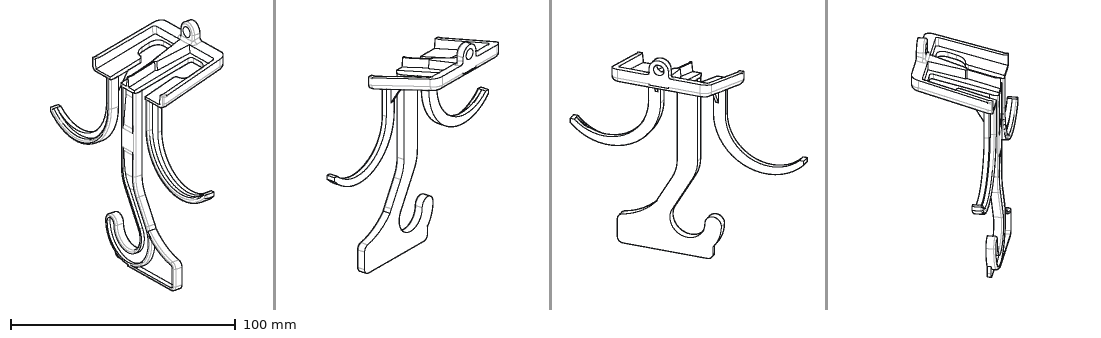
import cadquery as cq
import math


TOTAL_HEIGHT = 110.76
CUT_HEIGHT = 130.0
OVERRUN = 1.0

SHELF_DEPTH = 37.2
SHELF_HALF_WIDTH_FRONT = 25.7
SHELF_SIDE_DRAFT = math.radians(3)
SHELF_CORNER_RADIUS = 4.0
SHELF_SLOPE = math.radians(14.3)
SHELF_FRONT_FLAT = 2.2
SHELF_FRONT_TOP = 93.9
SHELF_FRONT_BOTTOM = 87.5
SHELF_BOTTOM_FILLET = 2.7
SHELF_EDGE_FILLET = 0.45
FLOOR_FRONT_HEIGHT = 89.0
FLOOR_SLOPE = math.radians(15)
WELL_DEPTH = 5.2
WELL_DRAFT = math.radians(6.5)
FLOOR_SIDE_MARGIN = 2.8
BACK_WALL = 5.1
WELL_CORNER_RADIUS = 1.3

SPINE_BACK_HALF_WIDTH = 3.9
SPINE_STEP_HALF_WIDTH = 1.7
SPINE_STEP_Y = 15.5
SPINE_NECK_LENGTH = 0.6
SPINE_FRONT_HALF_WIDTH = 0.85

SLOT_BACK_Y = 30.7
SLOT_STEP_Y = 17.75
SLOT_OUTER_X = 18.1
SLOT_INNER_X_BACK = 6.5
SLOT_INNER_X_FRONT = 4.95
SLOT_NECK_X_BACK = 12.0
SLOT_NECK_X_FRONT = 12.6
SLOT_OUTER_RADIUS = 4.6
SLOT_INNER_RADIUS = 1.7
SLOT_LIP_RADIUS = 1.5

EYE_RADIUS = 4.65
EYE_HOLE_RADIUS = 2.5
EYE_THICKNESS = 3.95
EYE_FRONT_FILLET = 0.8
EYE_BASE_FILLET = 1.5
EYE_BASE_Z = 98.0

ARM_TOP = 88.3
ARM_DEPTH = 4.8
ARM_INNER_X = 12.7
ARM_RIB_WIDTH = 2.1
ARM_WIDTH = 5.85
ARM_WEB_FRONT = 2.5
ARM_BEND_Z = 72.9
ARM_TIP_X = 56.31
ARM_BEND_RADIUS = 25.4
ARM_TIP_THICKNESS = 2.8
GUSSET_THICKNESS = 1.3
GUSSET_INSET = 1.2
GUSSET_BACK_Y = 12.1
GUSSET_BACK_Z = 90.2
GUSSET_FOOT_Z = 78.3

BODY_DEPTH = 4.3
EDGE_FILLET = 0.75
STEM_HALF_WIDTH = 4.95
STEM_BEND_RADIUS = 18.0
STEM_LEAN = math.radians(30)
HOOK_CENTRE_Z = 17.1
HOOK_INNER_RADIUS = 8.4
HOOK_OUTER_RADIUS = 16.4
CHANNEL_INSET = 1.6
CHANNEL_STEPS = [(57.9, 0.0), (56.2, 0.4), (44.7, 1.2), (38.2, 1.6)]
UPPER_POCKET_HALF_WIDTH = 3.5
UPPER_POCKET_DRAFT = 15
UPPER_POCKET_STEPS = [(87.4, 1.5), (83.8, 1.5), (69.2, 0.4), (67.3, 0.0)]

FOOT_LEFT_X = -12.4
FOOT_RIGHT_X = 33.8
FOOT_RIGHT_Z = 13.9
FOOT_CURVE_START = (14.8, 23.8)
FOOT_CURVE_MID = (21.9, 17.95)
FOOT_CORNER_RADIUS = 2.8
FOOT_RIM = 1.6
FOOT_WEB_FRONT = 2.5


def extrude_front(outline, y_start, y_end):
    """Extrude a closed XZ outline between two depths."""
    return outline.extrude(y_start - y_end).translate((0, y_start, 0))


def xz():
    return cq.Workplane("XZ")


def across(points, half_width):
    """Extrude a closed YZ polygon symmetrically about X = 0."""
    return cq.Workplane("YZ").polyline(points).close().extrude(half_width, both=True)


def mirrored_pair(body):
    return body.union(body.mirror("YZ"))


def shelf_shell():
    """Solid shelf before the wells and slots, with rounded outer edges."""
    rise = (SHELF_DEPTH - SHELF_FRONT_FLAT) * math.tan(SHELF_SLOPE)
    side_profile = [
        (0, SHELF_FRONT_BOTTOM),
        (SHELF_FRONT_FLAT, SHELF_FRONT_BOTTOM),
        (SHELF_DEPTH, SHELF_FRONT_BOTTOM + rise),
        (SHELF_DEPTH, SHELF_FRONT_TOP + rise),
        (SHELF_FRONT_FLAT, SHELF_FRONT_TOP),
        (0, SHELF_FRONT_TOP),
    ]
    half_front = SHELF_HALF_WIDTH_FRONT
    half_back = half_front - SHELF_DEPTH * math.tan(SHELF_SIDE_DRAFT)
    corners = [(-half_front, 0), (half_front, 0), (half_back, SHELF_DEPTH), (-half_back, SHELF_DEPTH)]
    plan = cq.Workplane("XY").polyline(corners).close().extrude(CUT_HEIGHT)
    plan = plan.edges("|Z and >Y").fillet(SHELF_CORNER_RADIUS)
    block = plan.intersect(across(side_profile, half_front))
    down_slope = cq.Vector(0, math.sin(SHELF_SLOPE), -math.cos(SHELF_SLOPE))
    lowest_sloped = cq.selectors.DirectionMinMaxSelector(-down_slope, False)
    lowest_flat = cq.selectors.DirectionMinMaxSelector(cq.Vector(0, 0, 1), False)
    bottom_edges = block.faces(lowest_sloped + lowest_flat).edges("(not |X) or >Y")
    block = bottom_edges.fillet(SHELF_BOTTOM_FILLET)
    highest_sloped = cq.selectors.DirectionMinMaxSelector(-down_slope, True)
    highest_flat = cq.selectors.DirectionMinMaxSelector(cq.Vector(0, 0, 1), True)
    front_edges = block.faces("<Y").edges()
    rim_edges = block.faces(highest_sloped).edges("(not |X) or >Y")
    flat_edges = block.faces("|Z").faces(highest_flat).edges("not |X")
    return front_edges.add(rim_edges).add(flat_edges).fillet(SHELF_EDGE_FILLET)


def shelf_with_eye():
    body = shelf_shell().union(eye())
    hole_bottom = TOTAL_HEIGHT - EYE_RADIUS - EYE_HOLE_RADIUS
    eye_base = cq.selectors.BoxSelector(
        (-EYE_RADIUS - OVERRUN, SHELF_DEPTH - EYE_THICKNESS - OVERRUN, EYE_BASE_Z),
        (EYE_RADIUS + OVERRUN, SHELF_DEPTH - SHELF_EDGE_FILLET / 2, hole_bottom),
    )
    return body.edges(eye_base).fillet(EYE_BASE_FILLET)


def well_section(height):
    """Closed wire of the right-hand well, parallel to the shelf floor at a height above it."""
    growth = height * math.tan(WELL_DRAFT)
    front = -OVERRUN
    back = SHELF_DEPTH - BACK_WALL
    wall_front = SHELF_HALF_WIDTH_FRONT - FLOOR_SIDE_MARGIN + growth
    taper = math.tan(SHELF_SIDE_DRAFT)
    plan = [
        (wall_front - front * taper, front),
        (wall_front - back * taper, back),
        (SPINE_BACK_HALF_WIDTH - growth, back),
        (SPINE_STEP_HALF_WIDTH - growth, SPINE_STEP_Y),
        (SPINE_FRONT_HALF_WIDTH - growth, SPINE_STEP_Y - SPINE_NECK_LENGTH),
        (SPINE_FRONT_HALF_WIDTH - growth, front),
    ]
    base = FLOOR_FRONT_HEIGHT + height
    return cq.Wire.makePolygon(
        [cq.Vector(x, y, base + y * math.tan(FLOOR_SLOPE)) for x, y in plan], close=True
    )


def well():
    """Right-hand hollow above the sloping floor, with drafted walls."""
    body = cq.Workplane(cq.Solid.makeLoft([well_section(0), well_section(WELL_DEPTH)], True))
    back = SHELF_DEPTH - BACK_WALL
    corner_z = FLOOR_FRONT_HEIGHT + back * math.tan(FLOOR_SLOPE) + WELL_DEPTH / 2
    corner = cq.selectors.NearestToPointSelector((SHELF_HALF_WIDTH_FRONT, back, corner_z))
    return body.edges(corner).fillet(WELL_CORNER_RADIUS)


def slot():
    points = [
        (SLOT_INNER_X_FRONT, 0),
        (SLOT_INNER_X_BACK, SLOT_BACK_Y),
        (SLOT_OUTER_X, SLOT_BACK_Y),
        (SLOT_OUTER_X, SLOT_STEP_Y),
        (SLOT_NECK_X_BACK, SLOT_STEP_Y),
        (SLOT_NECK_X_FRONT, 0),
    ]
    body = cq.Workplane("XY").polyline(points).close().extrude(CUT_HEIGHT)

    def round_corner(solid, corner, radius):
        return solid.edges(cq.selectors.NearestToPointSelector((*corner, CUT_HEIGHT / 2))).fillet(radius)

    body = round_corner(body, points[1], SLOT_INNER_RADIUS)
    body = round_corner(body, points[2], SLOT_OUTER_RADIUS)
    body = round_corner(body, points[3], SLOT_OUTER_RADIUS)
    return round_corner(body, points[4], SLOT_LIP_RADIUS)


def eye():
    centre_z = TOTAL_HEIGHT - EYE_RADIUS
    front_y = SHELF_DEPTH - EYE_THICKNESS
    outline = (
        xz()
        .moveTo(-EYE_RADIUS, EYE_BASE_Z)
        .lineTo(-EYE_RADIUS, centre_z)
        .threePointArc((0, TOTAL_HEIGHT), (EYE_RADIUS, centre_z))
        .lineTo(EYE_RADIUS, EYE_BASE_Z)
        .close()
    )
    body = extrude_front(outline, front_y, SHELF_DEPTH)
    return body.faces("<Y").edges("not <Z").fillet(EYE_FRONT_FILLET)


def eye_hole():
    centre_z = TOTAL_HEIGHT - EYE_RADIUS
    outline = xz().center(0, centre_z).circle(EYE_HOLE_RADIUS)
    return extrude_front(outline, 0, SHELF_DEPTH)


def arm_strip(start_x, end_x, tip_outer, tip_inner):
    """Closed XZ outline of a strip that drops straight, then curls out to its tip."""
    return (
        xz()
        .moveTo(start_x, ARM_TOP)
        .lineTo(start_x, ARM_BEND_Z)
        .threePointArc(curl_midpoint(start_x, tip_outer), tip_outer)
        .lineTo(ARM_TIP_X, tip_inner[1])
        .lineTo(*tip_inner)
        .threePointArc(curl_midpoint(end_x, tip_inner), (end_x, ARM_BEND_Z))
        .lineTo(end_x, ARM_TOP)
        .close()
    )


def curl_midpoint(start_x, tip):
    """Middle of the arc that leaves (start_x, ARM_BEND_Z) vertically and ends at the tip."""
    run = tip[0] - start_x
    drop = ARM_BEND_Z - tip[1]
    radius = (run**2 + drop**2) / (2 * run)
    half_sweep = math.atan2(drop, run - radius) / 2
    half_angle = (math.pi - 2 * half_sweep) / 2
    centre_x = start_x + radius
    return (centre_x - radius * math.cos(half_angle), ARM_BEND_Z - radius * math.sin(half_angle))


def arm():
    centre_x = ARM_INNER_X + ARM_BEND_RADIUS
    tip_angle = math.acos((ARM_TIP_X - centre_x) / ARM_BEND_RADIUS)

    def tip_point(radius):
        return (centre_x + radius * math.cos(tip_angle), ARM_BEND_Z - radius * math.sin(tip_angle))

    tip_outer = tip_point(ARM_BEND_RADIUS)
    tip_inner = tip_point(ARM_BEND_RADIUS - ARM_TIP_THICKNESS)
    rib = arm_strip(ARM_INNER_X, ARM_INNER_X + ARM_RIB_WIDTH, tip_outer, tip_inner)
    blade = arm_strip(ARM_INNER_X, ARM_INNER_X + ARM_WIDTH, tip_outer, tip_inner)
    rib = extrude_front(rib, 0, ARM_DEPTH)
    rib = rib.faces("<Y").edges("not >Z").fillet(EDGE_FILLET)
    return rib.union(extrude_front(blade, ARM_WEB_FRONT, ARM_DEPTH)).union(gusset())


def gusset():
    points = [
        (ARM_DEPTH - GUSSET_THICKNESS, GUSSET_FOOT_Z),
        (ARM_DEPTH, GUSSET_FOOT_Z),
        (GUSSET_BACK_Y, GUSSET_BACK_Z),
        (ARM_DEPTH - GUSSET_THICKNESS, ARM_TOP),
    ]
    body = cq.Workplane("YZ").polyline(points).close().extrude(GUSSET_THICKNESS)
    return body.translate((ARM_INNER_X + GUSSET_INSET, 0, 0))


def stem_and_hook(inset):
    """Solid of the stem, its bend and the hook, with its outline moved inwards by the inset."""
    outer = HOOK_OUTER_RADIUS - inset
    inner = HOOK_INNER_RADIUS + inset
    half_width = STEM_HALF_WIDTH - inset

    def ring_point(radius, angle):
        return (radius * math.cos(angle), HOOK_CENTRE_Z + radius * math.sin(angle))

    def bend_corner(x, radius):
        """Where the vertical at x meets the leaning line tangent to the ring of this radius."""
        return (x, HOOK_CENTRE_Z + (radius - x * math.cos(STEM_LEAN)) / math.sin(STEM_LEAN))

    tip_radius = (outer - inner) / 2
    right_bend = bend_corner(half_width, outer)
    left_bend = bend_corner(-half_width, inner)
    bottom_angle = -math.pi / 2
    outline = (
        xz()
        .moveTo(half_width, ARM_TOP)
        .lineTo(*right_bend)
        .lineTo(*ring_point(outer, STEM_LEAN))
        .threePointArc(ring_point(outer, bottom_angle), (-outer, HOOK_CENTRE_Z))
        .threePointArc((-inner - tip_radius, HOOK_CENTRE_Z + tip_radius), (-inner, HOOK_CENTRE_Z))
        .threePointArc(ring_point(inner, bottom_angle), ring_point(inner, STEM_LEAN))
        .lineTo(*left_bend)
        .lineTo(-half_width, ARM_TOP)
        .close()
    )
    body = extrude_front(outline, 0, BODY_DEPTH)
    for (x, z), radius in (
        (right_bend, STEM_BEND_RADIUS + inset),
        (left_bend, STEM_BEND_RADIUS - inset),
    ):
        corner = cq.selectors.NearestToPointSelector((x, BODY_DEPTH / 2, z))
        body = body.edges(corner).fillet(radius)
    return body


def stem_channel():
    """Channel that deepens down the stem and runs round the hook."""
    steps = [(depth, z) for z, depth in CHANNEL_STEPS]
    profile = [(0, 0)] + steps + [(steps[-1][0], 0)]
    return stem_and_hook(CHANNEL_INSET).intersect(across(profile, 2 * HOOK_OUTER_RADIUS))


def upper_pocket():
    steps = [(depth, z) for z, depth in UPPER_POCKET_STEPS]
    floor = across([(0, steps[0][1])] + steps, UPPER_POCKET_HALF_WIDTH)
    top, bottom = steps[0][1], steps[-1][1]
    mouth = xz().center(0, (top + bottom) / 2).rect(2 * UPPER_POCKET_HALF_WIDTH, top - bottom)
    return floor.intersect(mouth.extrude(-BODY_DEPTH, taper=UPPER_POCKET_DRAFT))


def foot_outline():
    return (
        xz()
        .moveTo(FOOT_LEFT_X, 0)
        .lineTo(FOOT_RIGHT_X, 0)
        .lineTo(FOOT_RIGHT_X, FOOT_RIGHT_Z)
        .threePointArc(FOOT_CURVE_MID, FOOT_CURVE_START)
        .lineTo(0, HOOK_CENTRE_Z)
        .lineTo(FOOT_LEFT_X, HOOK_CENTRE_Z - HOOK_INNER_RADIUS)
        .close()
    )


def foot():
    """Thin plate beside and behind the hook, rimmed on the right of the hook only."""
    plate = extrude_front(foot_outline(), 0, BODY_DEPTH)
    for x, z in ((FOOT_LEFT_X, 0), (FOOT_RIGHT_X, 0), (FOOT_RIGHT_X, FOOT_RIGHT_Z)):
        corner = cq.selectors.NearestToPointSelector((x, BODY_DEPTH / 2, z))
        plate = plate.edges(corner).fillet(FOOT_CORNER_RADIUS)
    inside_rim = plate.faces("<Y").wires().toPending().offset2D(-FOOT_RIM)
    web_recess = cq.Workplane("XZ").add(inside_rim.vals()).toPending().extrude(-FOOT_WEB_FRONT)
    left_recess = xz().rect(-FOOT_LEFT_X + OVERRUN, HOOK_CENTRE_Z, centered=False)
    left_recess = left_recess.extrude(-FOOT_WEB_FRONT).translate((FOOT_LEFT_X - OVERRUN, 0, 0))
    plate = plate.faces("<Y").edges(">X or <Z or >Z").fillet(EDGE_FILLET)
    hook_ring = xz().center(0, HOOK_CENTRE_Z).circle(HOOK_INNER_RADIUS + CHANNEL_INSET)
    hook_opening = extrude_front(hook_ring, 0, BODY_DEPTH)
    return plate.cut(web_recess).cut(left_recess).cut(hook_opening)


stem = stem_and_hook(0)
stem = stem.faces("<Y").edges("not >Z").fillet(EDGE_FILLET)

result = mirrored_pair(arm()).union(stem).union(foot())
result = result.union(shelf_with_eye()).cut(mirrored_pair(well())).cut(eye_hole())
result = result.cut(mirrored_pair(slot()).intersect(shelf_shell()))
result = result.cut(stem_channel()).cut(upper_pocket())